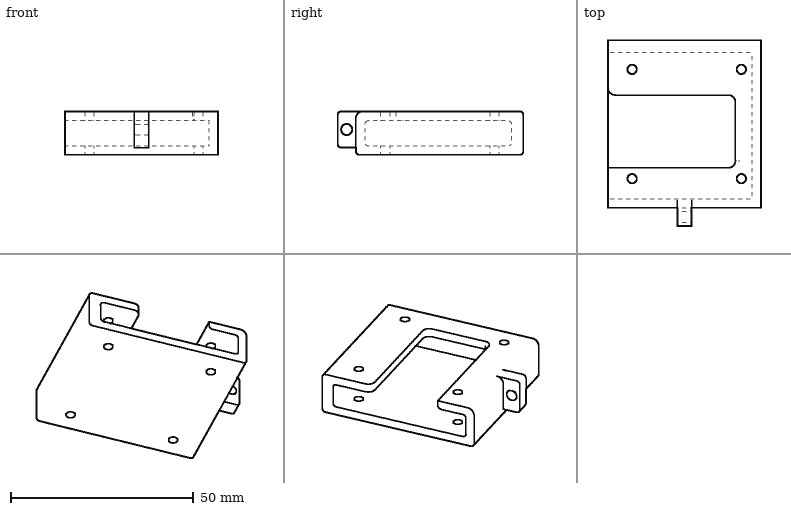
import cadquery as cq

body_width = 42.0
total_length = 51.0
height = 12.0
lug_reach = 5.0
body_length = total_length - lug_reach

small_radius = 1.0
large_radius = 2.0

floor_thickness = 2.5
back_wall = 3.3
front_wall = 2.45
end_wall = 2.5
cavity_width = body_width - end_wall
cavity_length = body_length - back_wall - front_wall
cavity_height = height - 2 * floor_thickness

window_depth = 35.0
window_width = 20.0
window_back_offset = 15.05

hole_diameter = 2.5
hole_spacing = 30.0
hole_left_offset = 6.65
hole_back_offset = 8.0

lug_width = 4.0
lug_height = 10.0
lug_hole_diameter = 3.0
lug_hole_drop = 5.0

left = -body_width / 2
back = total_length / 2
front = back - body_length
window_back = back - window_back_offset
window_front = window_back - window_width


def box(x, y, z, width, length, tall):
    """Box with its lowest corner at (x, y, z)."""
    return cq.Workplane("XY").box(width, length, tall, centered=False).translate((x, y, z))


def make_body():
    body = box(left, front, 0, body_width, body_length, height)
    body = body.edges("|X and (<Z or >Y)").fillet(small_radius)
    return body.edges("|X and >Z and <Y").fillet(large_radius)


def make_cavity():
    cavity = box(left, front + front_wall, floor_thickness, cavity_width, cavity_length, cavity_height)
    return cavity.edges("|X").fillet(small_radius)


def lip_profile(x, y, z):
    """Section between a square lower lip edge at (x, y, z) and its rounding arc."""
    return (
        cq.Workplane("YZ", origin=(x, y, z))
        .lineTo(0, small_radius)
        .radiusArc((-small_radius, 0), small_radius)
        .close()
    )


def make_window():
    """Roof cutter: rounded inner corners, flared back mouth and eased front lower edge."""
    roof_bottom = height - floor_thickness
    window = box(left, window_front, roof_bottom, window_depth, window_width, floor_thickness)
    window = window.edges("|Z and >X").fillet(large_radius)

    mouth = box(left, window_back, roof_bottom, large_radius, large_radius, floor_thickness)
    mouth_round = (
        cq.Workplane("XY", origin=(left + large_radius, window_back + large_radius, roof_bottom))
        .circle(large_radius)
        .extrude(floor_thickness)
    )

    straight_length = window_depth - large_radius
    lip_round = lip_profile(left, window_front, roof_bottom).extrude(straight_length)
    corner_round = lip_profile(left + straight_length, window_front, roof_bottom).revolve(
        90, (large_radius, 0, 0), (large_radius, 1, 0)
    )
    return window.union(mouth.cut(mouth_round)).union(lip_round).union(corner_round)


def make_mounting_holes():
    hole_x = left + hole_left_offset
    hole_y = back - hole_back_offset
    centers = [(hole_x + i * hole_spacing, hole_y - j * hole_spacing) for i in (0, 1) for j in (0, 1)]
    return cq.Workplane("XY").pushPoints(centers).circle(hole_diameter / 2).extrude(height)


def make_lug():
    lug_length = lug_reach + large_radius
    lug = box(-lug_width / 2, front - lug_reach, height - lug_height, lug_width, lug_length, lug_height)
    lug = lug.edges("|X and <Y").fillet(small_radius)
    hole = (
        cq.Workplane("YZ", origin=(-lug_width / 2, front - lug_reach / 2, height - lug_hole_drop))
        .circle(lug_hole_diameter / 2)
        .extrude(lug_width)
    )
    return lug.cut(hole)


result = make_body().union(make_lug()).cut(make_cavity()).cut(make_window()).cut(make_mounting_holes())